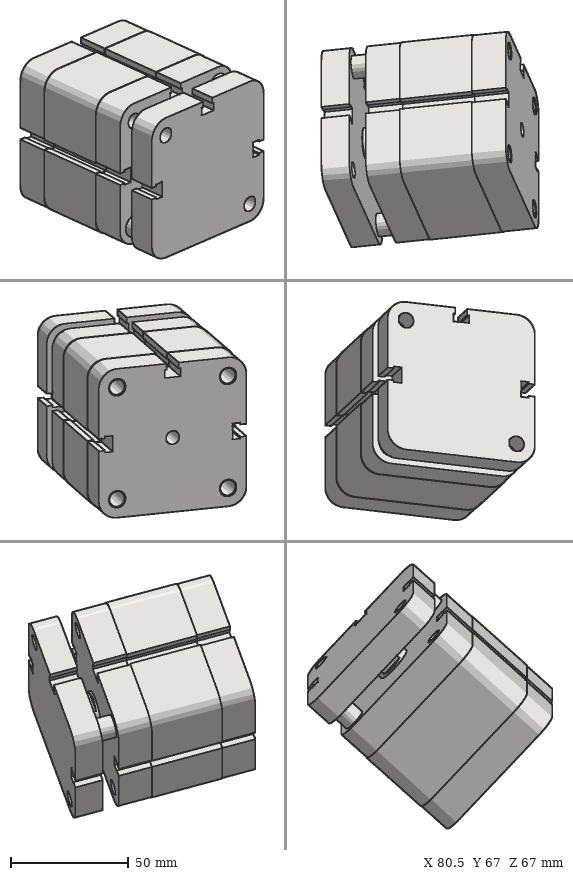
import cadquery as cq

TOTAL_LENGTH = 80.5
CAP_LENGTH = 14.8
BARREL_LENGTH = 31.5
PLATE_LENGTH = 12.2
barrel_start = CAP_LENGTH
front_cap_start = barrel_start + BARREL_LENGTH
front_cap_end = front_cap_start + CAP_LENGTH
plate_start = TOTAL_LENGTH - PLATE_LENGTH
gap_length = plate_start - front_cap_end

BARREL_SIDE = 67.0
CAP_SIDE = 66.6
CAP_CORNER_RADIUS = 8.2
barrel_corner_radius = CAP_CORNER_RADIUS + (BARREL_SIDE - CAP_SIDE) / 2

CAP_SLOT_NECK = 5.5
CAP_SLOT_WIDTH = 7.1
SLOT_NECK_DEPTH = 2.7
CAP_SLOT_DEPTH = 6.3
SLOT_INSET = 0.3
SLOT_CLEARANCE = 0.8

HOLE_SPACING = 50.0
HOLE_DIAMETER = 6.8
HOLE_CHAMFER = 0.4
CENTER_HOLE_DIAMETER = 5.95

GUIDE_DIAMETER = 10.0
ROD_DIAMETER = 16.0
ROD_ACROSS_FLATS = 12.8
ROD_COLLAR_LENGTH = 0.9
ROD_FLAT_SLOPE = 0.3
ROD_END_CHAMFER = 0.3

half_spacing = HOLE_SPACING / 2
bolt_places = [(-half_spacing, half_spacing), (half_spacing, -half_spacing)]
guide_places = [(half_spacing, half_spacing), (-half_spacing, -half_spacing)]


def section_plane(x):
    """Plane square to X whose local axes are Y and Z."""
    return cq.Workplane("YZ", origin=(x, 0, 0))


def t_slot(x, length, inset):
    """Cutter for the T-slot in the +Z side; a positive inset makes the slot smaller."""
    surface = CAP_SIDE / 2
    half_neck = CAP_SLOT_NECK / 2 - inset
    half_width = CAP_SLOT_WIDTH / 2 - inset
    shoulder = surface - SLOT_NECK_DEPTH
    floor = surface - CAP_SLOT_DEPTH + inset
    top = BARREL_SIDE / 2 + SLOT_CLEARANCE
    outline = [
        (-half_neck, top),
        (-half_neck, shoulder),
        (-half_width, shoulder),
        (-half_width, floor),
        (half_width, floor),
        (half_width, shoulder),
        (half_neck, shoulder),
        (half_neck, top),
    ]
    return section_plane(x).polyline(outline).close().extrude(length)


def slotted_block(x, length, side, corner_radius, slot_inset=0.0):
    """Rounded square block with T-slots in the +Z, +Y and -Y sides and two through bolt holes."""
    block = section_plane(x).rect(side, side).extrude(length).edges("|X").fillet(corner_radius)
    slot = t_slot(x, length, slot_inset)
    for angle in (-90, 0, 90):
        block = block.cut(slot.rotate((0, 0, 0), (1, 0, 0), angle))
    return block.cut(section_plane(x).pushPoints(bolt_places).circle(HOLE_DIAMETER / 2).extrude(length))


def make_cap(x):
    return slotted_block(x, CAP_LENGTH, CAP_SIDE, CAP_CORNER_RADIUS)


def make_rear_cap():
    """Cap with a centre hole and four corner holes, chamfered at the rear face."""
    cap = make_cap(0)
    cap = cap.cut(section_plane(0).circle(CENTER_HOLE_DIAMETER / 2).extrude(CAP_LENGTH))
    cap = cap.cut(section_plane(0).pushPoints(guide_places).circle(HOLE_DIAMETER / 2).extrude(CAP_LENGTH))
    mouth_radius = HOLE_DIAMETER / 2 + HOLE_CHAMFER
    for y, z in bolt_places + guide_places:
        mouth = cq.Solid.makeCone(
            mouth_radius, HOLE_DIAMETER / 2, HOLE_CHAMFER, cq.Vector(0, y, z), cq.Vector(1, 0, 0)
        )
        cap = cap.cut(cq.Workplane(mouth))
    return cap


def make_barrel():
    return slotted_block(barrel_start, BARREL_LENGTH, BARREL_SIDE, barrel_corner_radius, SLOT_INSET)


def make_rod():
    """Piston rod with two wrench flats, square to Z, whose rear walls slope."""
    radius = ROD_DIAMETER / 2
    flat_height = ROD_ACROSS_FLATS / 2
    rod = section_plane(front_cap_end).circle(radius).extrude(gap_length)
    rod = rod.faces(">X").chamfer(ROD_END_CHAMFER)
    wall_x = front_cap_end + ROD_COLLAR_LENGTH
    outline = [
        (wall_x, radius),
        (wall_x + ROD_FLAT_SLOPE, flat_height),
        (plate_start, flat_height),
        (plate_start, radius),
    ]
    flat = cq.Workplane("XZ").polyline(outline).close().extrude(radius, both=True)
    return rod.cut(flat).cut(flat.mirror("XY"))


def make_guided_plate():
    """Front plate in one piece with its two guide rods."""
    plate = slotted_block(plate_start, PLATE_LENGTH, CAP_SIDE, CAP_CORNER_RADIUS)
    guide_centers = section_plane(front_cap_end).pushPoints(guide_places)
    guides = guide_centers.circle(GUIDE_DIAMETER / 2).extrude(gap_length)
    return plate.union(guides)


rear_cap = make_rear_cap()
barrel = make_barrel()
front_cap = make_cap(front_cap_start)
rod = make_rod()
guided_plate = make_guided_plate()

result = cq.Compound.makeCompound(
    [rear_cap.val(), barrel.val(), front_cap.val(), rod.val(), guided_plate.val()]
)